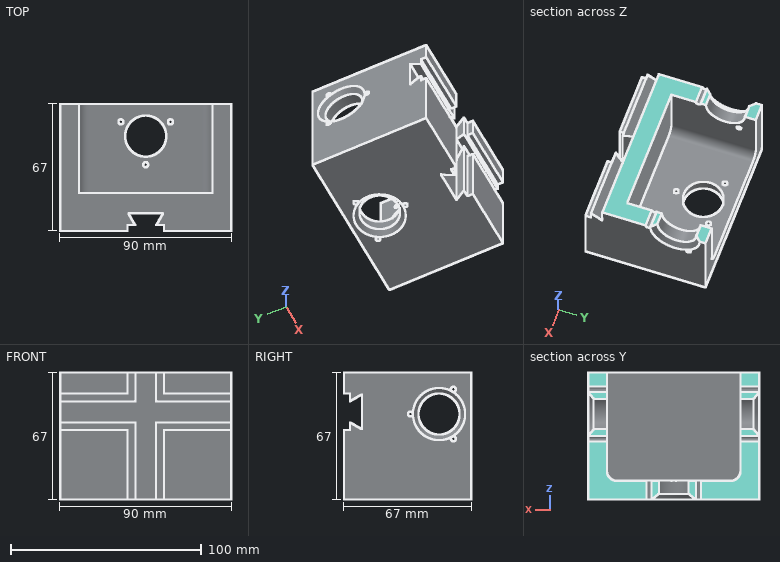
import cadquery as cq
import math

length = 90.0
depth = 67.0
height = 67.0

wall = 10.0
front_wall = 20.0
corner_radius = 5.0

recess_width = 19.1
recess_depth = 3.15
mouth_width = 11.0
groove_depth = 9.4
flank_angle = 60.0
cross_drop = 20.8

bore_diameter = 21.5
bore_chamfer = 3.0
screw_diameter = 2.5
screw_circle_radius = 15.0
screw_count = 3
bore_from_back = 17.0
bore_drop = 22.0

bore_y = depth - bore_from_back
bore_z = height - bore_drop


def groove_profile(workplane):
    """Stepped dovetail outline; local X spans the groove, local Y goes into the wall."""
    undercut = (groove_depth - recess_depth) / math.tan(math.radians(flank_angle))
    recess_half = recess_width / 2
    mouth_half = mouth_width / 2
    base_half = mouth_half + undercut
    return workplane.polyline([
        (-recess_half, 0),
        (-recess_half, recess_depth),
        (-mouth_half, recess_depth),
        (-base_half, groove_depth),
        (base_half, groove_depth),
        (mouth_half, recess_depth),
        (recess_half, recess_depth),
        (recess_half, 0),
    ]).close()


def bore_cutter(outer_point, inward):
    """Chamfered bore and screw holes through one wall, starting at its outer face.

    A screw hole lies on the front side of the bore.
    """
    plane = cq.Plane(origin=outer_point, xDir=(0, -1, 0), normal=inward)
    radius = bore_diameter / 2
    start = cq.Workplane(plane)
    bore = start.circle(radius).extrude(wall)
    cone = cq.Solid.makeCone(
        radius + bore_chamfer, radius, bore_chamfer, pnt=plane.origin, dir=plane.zDir
    )
    screws = (
        start.polarArray(screw_circle_radius, 0, 360, screw_count)
        .circle(screw_diameter / 2)
        .extrude(wall)
    )
    return bore.union(cq.Workplane(cone)).union(screws)


block = cq.Workplane("XY").box(length, depth, height, centered=(True, False, False))

pocket = (
    cq.Workplane("XY", origin=(0, front_wall, wall))
    .box(length - 2 * wall, depth - front_wall, height - wall, centered=(True, False, False))
    .edges("|Y and <Z")
    .fillet(corner_radius)
)

upright_groove = groove_profile(cq.Workplane("XY")).extrude(height)
level_plane = cq.Plane(
    origin=(length / 2, 0, height - cross_drop), xDir=(0, 0, 1), normal=(-1, 0, 0)
)
level_groove = groove_profile(cq.Workplane(level_plane)).extrude(length)

result = block.cut(pocket).cut(upright_groove).cut(level_groove)

bores = [
    ((-length / 2, bore_y, bore_z), (1, 0, 0)),
    ((length / 2, bore_y, bore_z), (-1, 0, 0)),
    ((0, bore_y, 0), (0, 0, 1)),
]
for outer_point, inward in bores:
    result = result.cut(bore_cutter(outer_point, inward))